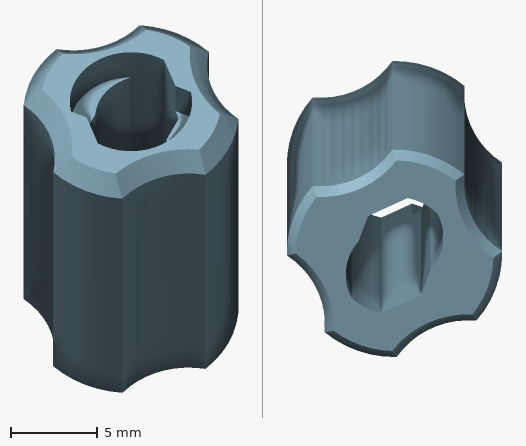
import cadquery as cq
import math

height = 20.62
outer_diameter = 12.48
top_chamfer = 1.01
bottom_chamfer = top_chamfer / 2

flute_count = 4
flute_radius = 5.0
flute_axis_distance = 2 * flute_radius

bore_radius = 7.1 / 2
flat_distance = 2.8
flat_direction = -135.0
flat_offset = flat_distance * math.sqrt(2)

entry_depth = 2.47
tab_edge_y = 2.12

side_x = 2.25
relief_start_y = 0.1
relief_bulge = (2.45, -1.03)
relief_end_angle = -65.0


def bore_point(angle):
    """Point on the bore wall at an angle in degrees."""
    return (
        bore_radius * math.cos(math.radians(angle)),
        bore_radius * math.sin(math.radians(angle)),
    )


def half_turn(point):
    """The same point turned by 180 degrees about the axis."""
    return (-point[0], -point[1])


def make_body():
    """Fluted bar with both ends chamfered."""
    bar = cq.Workplane("XY").circle(outer_diameter / 2).extrude(height)
    flutes = (
        cq.Workplane("XY")
        .polarArray(flute_axis_distance, 180 / flute_count, 360, flute_count)
        .circle(flute_radius)
        .extrude(height)
    )
    fluted = bar.cut(flutes)
    return fluted.faces(">Z").chamfer(top_chamfer).faces("<Z").chamfer(bottom_chamfer)


def make_entry():
    """Short bore at the top, less a tab on each of two opposite sides."""
    level = cq.Workplane("XY").workplane(offset=height - entry_depth)
    entry = level.circle(bore_radius).extrude(entry_depth)
    reach = 2 * bore_radius
    tab_corners = [
        (flat_offset - tab_edge_y, tab_edge_y),
        (reach, tab_edge_y),
        (reach, reach),
        (flat_offset - reach, reach),
    ]
    tab = level.polyline(tab_corners).close().extrude(entry_depth)
    opposite_tab = tab.rotate((0, 0, 0), (0, 0, 1), 180)
    return entry.cut(tab).cut(opposite_tab)


def make_through_opening():
    """Full-length opening with two identical halves, a half turn apart."""
    flat_half_angle = math.degrees(math.acos(flat_distance / bore_radius))
    flat_end_angle = flat_direction + flat_half_angle
    flat_end = bore_point(flat_end_angle)
    relief_end = bore_point(relief_end_angle)
    bore_middle = bore_point((flat_end_angle + relief_end_angle) / 2)
    relief_start = (side_x, relief_start_y)
    side_end = (side_x, flat_offset - side_x)

    outline = cq.Workplane("XY").moveTo(*flat_end)
    for turn in (lambda point: point, half_turn):
        outline = (
            outline.threePointArc(turn(bore_middle), turn(relief_end))
            .threePointArc(turn(relief_bulge), turn(relief_start))
            .lineTo(*turn(side_end))
            .lineTo(*turn(half_turn(flat_end)))
        )
    return outline.close().extrude(height)


result = make_body().cut(make_entry()).cut(make_through_opening())